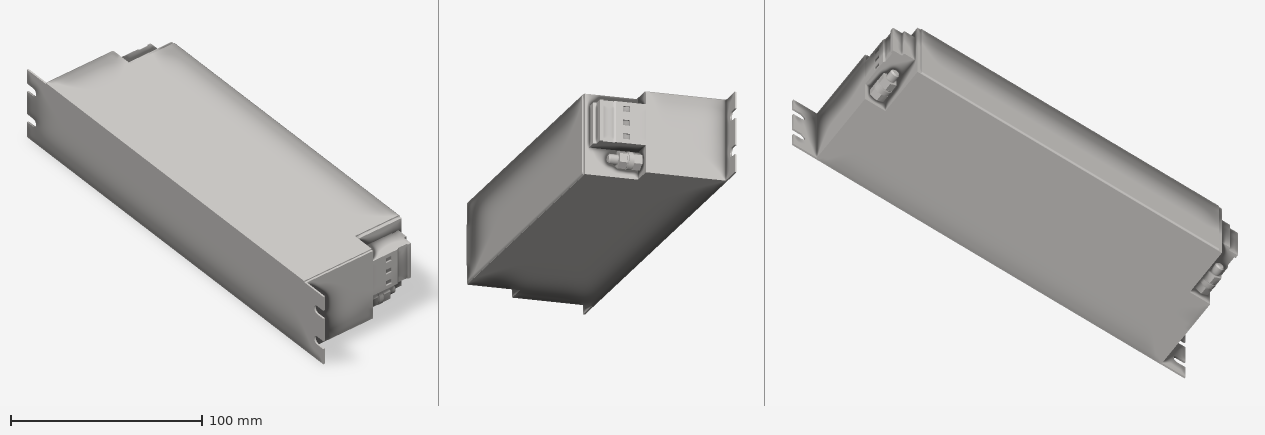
import cadquery as cq
import math

housing_height = 45.0
housing_depth = 75.0
shoulder_y = 45.0
back_bend_radius = 1.5

front_length = 220.0
rear_length = 194.0
front_panel_thickness = 1.2
rear_panel_thickness = 2.2
panel_setback = 0.7
panel_height = housing_height - panel_setback
panel_depth = housing_depth - panel_setback

plate_length = 250.0
plate_height = panel_height
plate_thickness = 1.0
slot_width = 5.2
slot_depth = 7.6
slot_spacing = 20.0
slot_center_z = housing_height / 2

terminal_outer_x = 109.9
terminal_height = 22.6
terminal_center_z = 26.2
rear_step_y = 72.0
lip_back_y = 70.3
lip_front_y = 68.3
recess_end_y = 62.6
recess_slope_end_y = 61.4
recess_depth = 0.8
rear_step_run = 5.8
rear_step_lean = 0.3

notch_width = 0.5
notch_start_y = 67.7
notch_end_y = 70.2
notch_depth = 1.0

pocket_count = 3
pocket_pitch = 7.5
pocket_width = 3.8
pocket_height = 3.0
pocket_depth = 1.0
pocket_center_y = 55.6

stud_x = (terminal_outer_x + rear_length / 2) / 2
stud_z = 7.6
stud_diameter = 5.3
stud_end_y = 63.8
stud_tip_chamfer = 0.8

nut_across_flats = 8.3
nut_across_corners = nut_across_flats / math.cos(math.radians(30))
washer_diameter = 9.6
narrow_washer_diameter = 8.6
inner_nut_start_y = 46.2
inner_nut_end_y = 50.4
washer_start_y = 51.1
washer_end_y = 53.5
outer_nut_start_y = 54.2
outer_nut_end_y = 58.6


def box(x_range, y_range, z_range):
    """Box spanning the given coordinate ranges."""
    size = [high - low for low, high in (x_range, y_range, z_range)]
    corner = (x_range[0], y_range[0], z_range[0])
    return cq.Workplane("XY").box(*size, centered=False).translate(corner)


def centered_block(length, depth, height):
    """Block symmetric about X = 0, reaching back from Y = 0 and up from Z = 0."""
    return box((-length / 2, length / 2), (0, depth), (0, height))


def make_plate():
    plate = centered_block(plate_length, plate_thickness, plate_height)
    slots = (
        cq.Workplane("XZ")
        .center(0, slot_center_z)
        .rarray(plate_length, slot_spacing, 2, 2)
        .slot2D(2 * slot_depth, slot_width)
        .extrude(-plate_thickness)
    )
    return plate.cut(slots)


def make_housing():
    cover_front_length = front_length - 2 * front_panel_thickness
    cover_rear_length = rear_length - 2 * rear_panel_thickness
    cover_rear = centered_block(cover_rear_length, housing_depth, housing_height)
    cover_rear = cover_rear.edges(">Y and |X").fillet(back_bend_radius)
    cover_front = centered_block(cover_front_length, shoulder_y, housing_height)
    panels_front = centered_block(front_length, shoulder_y, panel_height)
    panels_rear = centered_block(rear_length, panel_depth, panel_height)
    return cover_rear.union(cover_front).union(panels_front).union(panels_rear)


def make_terminal():
    """Terminal block on the -X shoulder."""
    outer_x = -terminal_outer_x
    inner_x = -rear_length / 2
    recess_x = outer_x + recess_depth
    step_x = outer_x + rear_step_run
    bottom_z = terminal_center_z - terminal_height / 2
    top_z = bottom_z + terminal_height
    block = (
        cq.Workplane("XY")
        .workplane(offset=bottom_z)
        .polyline([
            (inner_x, shoulder_y),
            (outer_x, shoulder_y),
            (outer_x, recess_slope_end_y),
            (recess_x, recess_end_y),
            (recess_x, lip_front_y),
            (outer_x, lip_front_y),
            (outer_x, lip_back_y),
            (step_x, lip_back_y),
            (step_x + rear_step_lean, rear_step_y),
            (inner_x, rear_step_y),
        ])
        .close()
        .extrude(terminal_height)
    )
    notch = box(
        (inner_x - notch_width, inner_x),
        (notch_start_y, notch_end_y),
        (top_z - notch_depth, top_z),
    )
    pockets = (
        cq.Workplane("YZ")
        .workplane(offset=outer_x)
        .center(pocket_center_y, terminal_center_z)
        .rarray(pocket_pitch, pocket_pitch, 1, pocket_count)
        .rect(pocket_width, pocket_height)
        .extrude(pocket_depth)
    )
    return block.cut(notch).cut(pockets)


def stud_piece(outline, start_y, end_y):
    """Extrude an outline drawn around the stud axis from start_y to end_y."""
    return outline.extrude(start_y - end_y).translate((-stud_x, start_y, stud_z))


def stud_disc(diameter, start_y, end_y):
    return stud_piece(cq.Workplane("XZ").circle(diameter / 2), start_y, end_y)


def stud_nut(start_y, end_y):
    hexagon = cq.Workplane("XZ").transformed(rotate=(0, 0, 90)).polygon(6, nut_across_corners)
    return stud_piece(hexagon, start_y, end_y)


def make_stud():
    """Earth stud with its nuts and washers on the -X shoulder."""
    stud = stud_disc(stud_diameter, shoulder_y, stud_end_y)
    stud = stud.faces(">Y").chamfer(stud_tip_chamfer)
    return (
        stud
        .union(stud_nut(inner_nut_start_y, inner_nut_end_y))
        .union(stud_disc(narrow_washer_diameter, inner_nut_end_y, outer_nut_start_y))
        .union(stud_disc(washer_diameter, washer_start_y, washer_end_y))
        .union(stud_nut(outer_nut_start_y, outer_nut_end_y))
    )


end_fittings = make_terminal().union(make_stud())
result = (
    make_plate()
    .union(make_housing())
    .union(end_fittings)
    .union(end_fittings.mirror("YZ"))
)